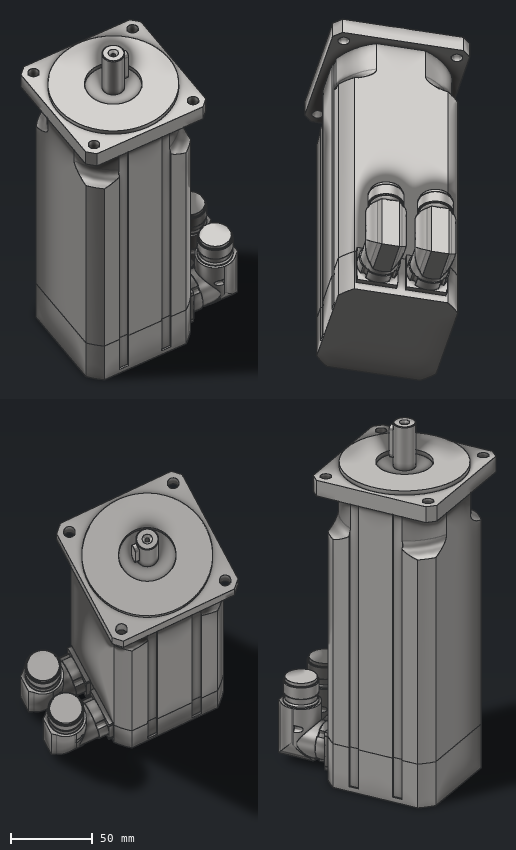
import cadquery as cq
import math


total_height = 240.0
body_width = 75.0
corner_round_diameter = 95.0
cap_height = 30.0

flange_width = 86.0
flange_thickness = 10.8
flange_corner_chamfer = 5.0
pilot_diameter = 80.0
pilot_height = 3.0
recess_diameter = 35.0
recess_depth = 3.0
bolt_spacing = 70.8
bolt_hole_diameter = 7.0

neck_diameter = 81.0
neck_height = 20.5
neck_fillet = 10.0

groove_width = 6.5
groove_offset = 15.0
groove_depth = 1.2
groove_bottom = 3.4

shaft_diameter = 14.0
shaft_projection = 27.0
shaft_chamfer = 0.5
center_hole_diameter = 2.6
center_hole_depth = 9.5
countersink_angle = 90.0
countersink_diameter = 6.2
key_width = 5.0
key_length = 22.0
key_height = 2.5
key_top_gap = 3.5

connector_spacing = 31.0
stub_diameter = 24.0
elbow_width = 25.0
elbow_axis_height = 18.2
elbow_top = 41.8
elbow_reach = 26.0
elbow_back = 12.7
elbow_back_half_width = 5.5
elbow_shoulder_half_width = 7.7
elbow_shoulder_offset = 10.0
elbow_seam_offset = 1.0
base_width = 25.7
base_thickness = 3.0
base_step_height = 20.6
base_step_depth = 0.2
ring_length = 6.5
notch_diameter = 4.3
screw_hole_diameter = 4.3
screw_hole_height = 28.0
plug_diameter = 20.0
plug_top = 58.3
foot_diameter = 22.0
foot_height = 2.0
collar_diameter = 22.0
collar_bottom = 47.5
collar_height = 8.6
collar_chamfer = 0.5

body_half = body_width / 2
pilot_top = total_height - shaft_projection
flange_top = pilot_top - pilot_height
flange_bottom = flange_top - flange_thickness
recess_floor = pilot_top - recess_depth
tower_y = body_half + elbow_reach
elbow_radius = elbow_width / 2
elbow_bottom = elbow_axis_height - elbow_back


def body_column(bottom, top):
    """Square column whose corners are rounded about the motor axis."""
    height = top - bottom
    square = cq.Workplane("XY", origin=(0, 0, bottom)).rect(body_width, body_width).extrude(height)
    round_bar = cq.Workplane("XY", origin=(0, 0, bottom)).circle(corner_round_diameter / 2).extrude(height)
    return square.intersect(round_bar)


def neck_cutter():
    """Ring of material removed around the neck, ending in a concave fillet."""
    neck_radius = neck_diameter / 2
    outer_radius = corner_round_diameter / 2 + neck_fillet
    fillet_top = flange_bottom - neck_height
    fillet_low = fillet_top - neck_fillet
    bend = neck_fillet * math.sqrt(0.5)
    fillet_center = neck_radius + neck_fillet
    return (
        cq.Workplane("XZ")
        .moveTo(neck_radius, flange_bottom)
        .lineTo(neck_radius, fillet_top)
        .threePointArc((fillet_center - bend, fillet_top - bend), (fillet_center, fillet_low))
        .lineTo(outer_radius, fillet_low)
        .lineTo(outer_radius, flange_bottom)
        .close()
        .revolve(360, (0, 0, 0), (0, 1, 0))
    )


def side_grooves():
    """Two upright grooves on each of the -X and +X faces, running up to the flange."""
    height = flange_bottom - groove_bottom
    centers = [(sx * body_half, sy * groove_offset) for sx in (-1, 1) for sy in (-1, 1)]
    return (
        cq.Workplane("XY", origin=(0, 0, groove_bottom))
        .pushPoints(centers)
        .rect(2 * groove_depth, groove_width)
        .extrude(height)
    )


def make_housing():
    """Motor housing with its square flange, pilot and shaft recess."""
    column = body_column(cap_height, flange_bottom).cut(neck_cutter()).cut(side_grooves())
    flange = (
        cq.Workplane("XY", origin=(0, 0, flange_bottom))
        .rect(flange_width, flange_width)
        .extrude(flange_thickness)
        .edges("|Z")
        .chamfer(flange_corner_chamfer)
    )
    pilot = cq.Workplane("XY", origin=(0, 0, flange_top)).circle(pilot_diameter / 2).extrude(pilot_height)
    recess = cq.Workplane("XY", origin=(0, 0, recess_floor)).circle(recess_diameter / 2).extrude(recess_depth)
    bolt_holes = (
        cq.Workplane("XY", origin=(0, 0, flange_bottom))
        .rect(bolt_spacing, bolt_spacing, forConstruction=True)
        .vertices()
        .circle(bolt_hole_diameter / 2)
        .extrude(flange_thickness)
    )
    return column.union(flange).union(pilot).cut(recess).cut(bolt_holes)


def make_end_cap():
    """Cover that closes the bottom of the housing."""
    return body_column(0, cap_height).cut(side_grooves())


def make_shaft():
    """Output shaft with its round-ended key and a countersunk centre hole."""
    shaft_radius = shaft_diameter / 2
    shaft = (
        cq.Workplane("XY", origin=(0, 0, recess_floor))
        .circle(shaft_radius)
        .extrude(total_height - recess_floor)
        .faces(">Z")
        .chamfer(shaft_chamfer)
    )
    key_center = total_height - key_top_gap - key_length / 2
    key = (
        cq.Workplane("XZ", origin=(0, 0, key_center))
        .slot2D(key_length, key_width, 90)
        .extrude(-(shaft_radius + key_height))
    )
    return (
        shaft.union(key)
        .faces(">Z")
        .workplane(origin=(0, 0, total_height))
        .cskHole(center_hole_diameter, countersink_diameter, countersink_angle, center_hole_depth)
    )


def elbow_outline(plane, inner_end):
    """Shell outline: straight sides from inner_end to the axis, then curves and tapers to the outer flat."""
    return (
        plane.moveTo(0, inner_end)
        .lineTo(elbow_radius, inner_end)
        .lineTo(elbow_radius, 0)
        .tangentArcPoint((elbow_shoulder_half_width, elbow_shoulder_offset), relative=False)
        .lineTo(elbow_back_half_width, elbow_back)
        .lineTo(0, elbow_back)
        .mirrorY()
    )


def elbow_block():
    """Upright block, round towards the motor, whose underside repeats its outer outline along Y."""
    height = elbow_top - elbow_bottom
    upright_plane = cq.Workplane("XY", origin=(0, tower_y, elbow_bottom))
    upright = elbow_outline(upright_plane, -elbow_seam_offset).extrude(height).union(
        upright_plane.circle(elbow_radius).extrude(height)
    )
    underside_plane = cq.Workplane(
        cq.Plane(origin=(0, body_half, elbow_axis_height), xDir=(1, 0, 0), normal=(0, 1, 0))
    )
    underside = elbow_outline(underside_plane, elbow_axis_height - elbow_top).extrude(elbow_reach + elbow_back)
    return upright.intersect(underside)


def stub():
    """Horizontal stub with a stepped square base against the motor and a notched ring."""
    face = cq.Workplane("XZ", origin=(0, body_half, elbow_axis_height))
    band = face.rect(base_width, base_step_height).extrude(-base_thickness)
    base = face.rect(base_width - 2 * base_step_depth, base_width).extrude(-base_thickness).union(band)
    tube = face.circle(stub_diameter / 2).extrude(-elbow_reach)
    ring = face.workplane(offset=-base_thickness).circle(base_width / 2).extrude(-ring_length)
    notches = (
        face.workplane(offset=-base_thickness)
        .polarArray(base_width / 2, 45, 360, 4)
        .circle(notch_diameter / 2)
        .extrude(-ring_length)
    )
    return base.union(tube.union(ring).cut(notches))


def plug():
    """Round plug on top of the elbow, with a bevelled foot and a wider collar."""
    barrel = (
        cq.Workplane("XY", origin=(0, tower_y, elbow_top))
        .circle(plug_diameter / 2)
        .extrude(plug_top - elbow_top)
    )
    collar = (
        cq.Workplane("XY", origin=(0, tower_y, collar_bottom))
        .circle(collar_diameter / 2)
        .extrude(collar_height)
        .faces("<Z or >Z")
        .chamfer(collar_chamfer)
    )
    foot = (
        cq.Workplane("XY", origin=(0, tower_y, elbow_top))
        .circle(foot_diameter / 2)
        .extrude(foot_height)
        .faces(">Z")
        .chamfer((foot_diameter - plug_diameter) / 2)
    )
    return barrel.union(collar).union(foot)


def screw_holes():
    """Screw channels that open into both sides of the elbow."""
    return (
        cq.Workplane("XZ", origin=(0, tower_y - elbow_seam_offset, screw_hole_height))
        .pushPoints([(-elbow_radius, 0), (elbow_radius, 0)])
        .circle(screw_hole_diameter / 2)
        .extrude(elbow_radius)
    )


def make_connector(x):
    """Angled connector on the +Y face, centred at the given X."""
    elbow = elbow_block().cut(screw_holes())
    return elbow.union(stub()).union(plug()).translate((x, 0, 0))


housing = make_housing()
end_cap = make_end_cap()
shaft = make_shaft()
connectors = [make_connector(side * connector_spacing / 2) for side in (-1, 1)]

result = cq.Compound.makeCompound([
    housing.val(),
    end_cap.val(),
    shaft.val(),
    *[connector.val() for connector in connectors],
])